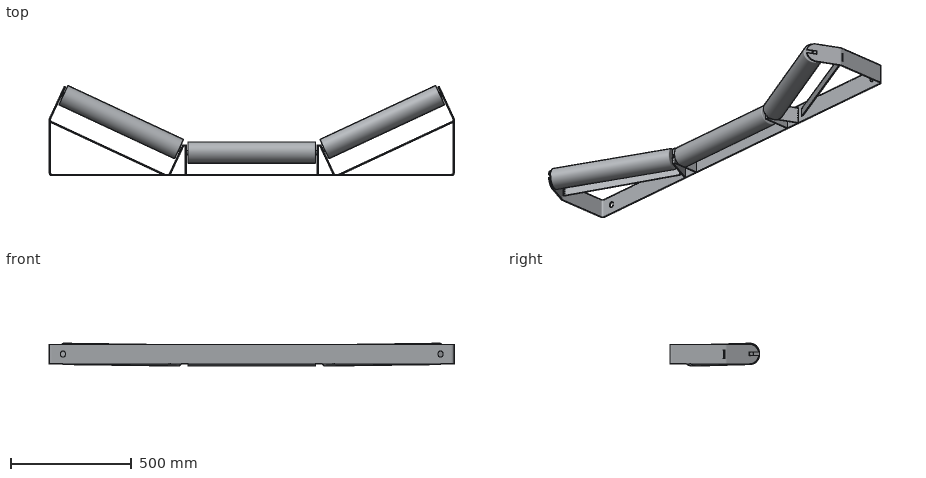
import cadquery as cq
import math

overall_length = 1680.0
bar_width = 80.0
bar_thickness = 5.0
bend_radius = 12.0
trough_angle = 25.0

wall_height = 235.0
plate_length = 150.0
mount_slot_width = 20.0
mount_slot_height = 25.0
mount_slot_x = 783.0

roller_diameter = 89.0
roller_length = 530.0
roller_edge_radius = 3.0
plate_spacing = 543.0
axle_diameter = 18.0
axle_flat_width = 14.1
axle_shoulder_gap = 0.8
axle_length = plate_spacing + 2 * bar_thickness
wing_axis_height = 115.0
middle_roller_y = 95.0
inner_axle_z = -5.9
outer_axle_z = 0.8

bracket_height = 128.0
strut_width = 35.0
strut_wall_y = 223.0
strut_corner_trim = 0.3

half_length = overall_length / 2
half_width = bar_width / 2
bracket_width = bar_width + 2 * inner_axle_z
sin_trough = math.sin(math.radians(trough_angle))
cos_trough = math.cos(math.radians(trough_angle))


def wing_point(along, up, origin_y=wall_height):
    """Point of the left wing, measured along its roller and up its end plate."""
    x = -half_length + along * cos_trough + up * sin_trough
    y = origin_y - along * sin_trough + up * cos_trough
    return (x, y)


def mirror_points(points):
    """The same points on the right side, in reverse order."""
    return [(-x, y) for x, y in reversed(points)]


def bar_from_outline(points, width=bar_width):
    """Extrude an XY outline to a bar centred on Z = 0."""
    return cq.Workplane("XY").polyline(points).close().extrude(width / 2, both=True)


def right_copy(body):
    return body.mirror("YZ")



def cylinder_along_x(diameter, length):
    """Cylinder centred on the origin."""
    return cq.Workplane("YZ", origin=(-length / 2, 0, 0)).circle(diameter / 2).extrude(length)


def make_roller():
    shell = cylinder_along_x(roller_diameter, roller_length).edges("%CIRCLE").fillet(roller_edge_radius)
    round_axle = cylinder_along_x(axle_diameter, plate_spacing - 2 * axle_shoulder_gap)
    flats = cq.Workplane("XY").box(axle_length, axle_diameter, axle_flat_width)
    flat_axle = cylinder_along_x(axle_diameter, axle_length).intersect(flats)
    return shell.union(round_axle).union(flat_axle)


def make_axle_slots():
    """Cutters for the open slots that hold the two flattened axle ends of a roller."""
    slot_depth = roller_diameter / 2 + axle_diameter / 2
    slot_run = axle_length - roller_length
    return (
        cq.Workplane("XY")
        .pushPoints([(-axle_length / 2, 0), (axle_length / 2, 0)])
        .box(slot_run, slot_depth, axle_flat_width)
        .translate((0, slot_depth / 2 - axle_diameter / 2, 0))
    )


def place_left(body):
    """Move a body from the origin to the left wing roller."""
    dip_angle = math.degrees(math.asin((outer_axle_z - inner_axle_z) / axle_length))
    x, y = wing_point(axle_length / 2, wing_axis_height)
    return (
        body.rotate((0, 0, 0), (0, 1, 0), dip_angle)
        .rotate((0, 0, 0), (0, 0, 1), -trough_angle)
        .translate((x, y, (outer_axle_z + inner_axle_z) / 2))
    )


def place_middle(body):
    return body.translate((0, middle_roller_y, inner_axle_z))


def place_right(body):
    return right_copy(place_left(body))


placements = [place_left, place_middle, place_right]


def cut_axle_slots(body):
    for place in placements:
        body = body.cut(place(make_axle_slots()))
    return body



def make_left_strut():
    run = half_length
    start = -strut_corner_trim
    outline = [
        wing_point(start, 0, strut_wall_y),
        wing_point(run, 0, strut_wall_y),
        wing_point(run, bar_thickness, strut_wall_y),
        wing_point(start, bar_thickness, strut_wall_y),
    ]
    inside_frame = (
        cq.Workplane("XY")
        .box(half_length, wall_height, bar_width, centered=(False, False, True))
        .translate((-half_length, bar_thickness, 0))
    )
    return bar_from_outline(outline, strut_width).intersect(inside_frame)



def make_frame(struts):
    straight_plate = plate_length - half_width
    inner_bend_up = bar_thickness * math.tan(math.radians(trough_angle / 2))
    inner_bend_y = wing_point(bar_thickness, inner_bend_up)[1]
    outside = [
        (-half_length, 0),
        wing_point(0, 0),
        wing_point(0, straight_plate),
    ]
    inside = [
        wing_point(bar_thickness, straight_plate),
        wing_point(bar_thickness, inner_bend_up),
        (-half_length + bar_thickness, bar_thickness),
    ]
    left = outside + inside
    inner_bend_radius = bend_radius - bar_thickness
    frame = bar_from_outline(left + mirror_points(left))

    for side in (-1, 1):
        corner_x = side * half_length
        inner_x = corner_x - side * bar_thickness
        bend_points = [
            ((corner_x, 0), bend_radius),
            ((inner_x, bar_thickness), inner_bend_radius),
            ((corner_x, wall_height), bend_radius),
            ((inner_x, inner_bend_y), inner_bend_radius),
        ]
        for (x, y), radius in bend_points:
            edge = cq.selectors.NearestToPointSelector((x, y, 0))
            frame = frame.edges("|Z").edges(edge).fillet(radius)

    tip_x, tip_y = wing_point(0, straight_plate)
    tip_plane = cq.Plane((tip_x, tip_y, 0), xDir=(0, 0, 1), normal=(cos_trough, -sin_trough, 0))
    tip = cq.Workplane(tip_plane).circle(half_width).extrude(bar_thickness)
    frame = frame.union(tip).union(right_copy(tip))

    mount_slots = (
        cq.Workplane("XZ")
        .pushPoints([(-mount_slot_x, 0), (mount_slot_x, 0)])
        .slot2D(mount_slot_height, mount_slot_width, angle=90)
        .extrude(-bar_thickness)
    )
    frame = cut_axle_slots(frame.cut(mount_slots))
    for strut in struts:
        frame = frame.cut(strut)
    return frame



def make_left_bracket():
    near_face = bar_thickness + plate_spacing
    far_face = near_face + bar_thickness
    upright_x = -plate_spacing / 2

    def leg_point(along, y):
        up = (y - wall_height + along * sin_trough) / cos_trough
        return wing_point(along, up)

    web_underside = bracket_height - bar_thickness
    outline = [
        leg_point(near_face, bar_thickness),
        leg_point(near_face, bracket_height),
        (upright_x, bracket_height),
        (upright_x, bar_thickness),
        (upright_x - bar_thickness, bar_thickness),
        (upright_x - bar_thickness, web_underside),
        leg_point(far_face, web_underside),
        leg_point(far_face, bar_thickness),
    ]
    bracket = bar_from_outline(outline, bracket_width).translate((0, 0, inner_axle_z))
    return cut_axle_slots(bracket)


rollers = [place(make_roller()) for place in placements]
left_strut = make_left_strut()
struts = [left_strut, right_copy(left_strut)]
frame = make_frame(struts)
left_bracket = make_left_bracket()
brackets = [left_bracket, right_copy(left_bracket)]

bodies = [frame, *brackets, *struts, *rollers]
result = cq.Compound.makeCompound([solid for body in bodies for solid in body.solids().vals()])